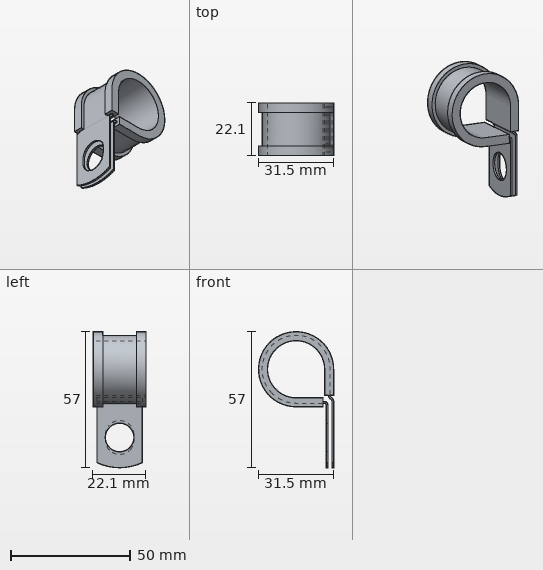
import cadquery as cq
import math

loop_radius = 15.77
bore_radius = 11.92
cushion_width = 22.1
vertical_leg_end = -10.9
horizontal_leg_end = 11.3

band_thickness = 0.8
band_radius = (loop_radius + bore_radius) / 2
groove_floor_radius = band_radius + band_thickness / 2
groove_width = 14.0

lug_width = 19.05
lug_bottom = -41.27
lug_gap = 1.6
lug_tip_radius = 22.2
hole_diameter = 11.9
outer_slot_stretch = 2.3
hole_height = -28.57
bend_radius = 1.2
jog_angle = math.radians(45)

outer_lug_x = loop_radius - band_thickness / 2
inner_lug_x = outer_lug_x - band_thickness - lug_gap


def teardrop(radius, width):
    """Solid teardrop: a 270 degree disc with a square corner at +X, -Z."""
    diagonal = radius * math.sin(math.radians(45))
    profile = (
        cq.Workplane("XZ", origin=(0, width / 2, 0))
        .moveTo(radius, -radius)
        .lineTo(radius, 0)
        .threePointArc((-diagonal, diagonal), (0, -radius))
        .close()
    )
    return profile.extrude(width)


def make_cushion():
    cushion = teardrop(loop_radius, cushion_width).cut(teardrop(bore_radius, cushion_width))
    groove = teardrop(loop_radius, groove_width).cut(teardrop(groove_floor_radius, groove_width))

    corner_size = 2 * loop_radius
    corner_block = cq.Workplane("XY").box(
        corner_size, cushion_width, corner_size, centered=(False, True, False)
    )
    opening = corner_block.translate((horizontal_leg_end, 0, vertical_leg_end - corner_size))
    return cushion.cut(groove).cut(opening)


def make_inner_strip():
    """Strip leaving the horizontal leg and turning straight down."""
    bend_start_x = inner_lug_x - bend_radius
    path = (
        cq.Workplane("XZ")
        .moveTo(horizontal_leg_end, -band_radius)
        .lineTo(bend_start_x, -band_radius)
        .radiusArc((inner_lug_x, -band_radius - bend_radius), bend_radius)
        .lineTo(inner_lug_x, lug_bottom)
    )
    section = cq.Workplane("YZ", origin=(horizontal_leg_end, 0, -band_radius)).rect(lug_width, band_thickness)
    return section.sweep(path)


def make_outer_strip():
    """Strip leaving the vertical leg and jogging out to the loop's outer side."""
    bend_dx = bend_radius * (1 - math.cos(jog_angle))
    bend_dz = bend_radius * math.sin(jog_angle)
    slope_dx = outer_lug_x - band_radius - 2 * bend_dx
    slope_dz = slope_dx / math.tan(jog_angle)
    slope_top = vertical_leg_end - bend_dz
    slope_bottom = slope_top - slope_dz
    path = (
        cq.Workplane("XZ")
        .moveTo(band_radius, vertical_leg_end)
        .radiusArc((band_radius + bend_dx, slope_top), -bend_radius)
        .lineTo(outer_lug_x - bend_dx, slope_bottom)
        .radiusArc((outer_lug_x, slope_bottom - bend_dz), bend_radius)
        .lineTo(outer_lug_x, lug_bottom)
    )
    section = cq.Workplane("XY", origin=(band_radius, 0, vertical_leg_end)).rect(band_thickness, lug_width)
    return section.sweep(path)


def shape_lug(strip, hole_stretch):
    """Round the tip of one lug and cut its bolt hole, drawn out along Z by hole_stretch."""
    tip_half_width = lug_width / 2
    tip_rise = lug_tip_radius - math.sqrt(lug_tip_radius**2 - tip_half_width**2)
    corner_height = lug_bottom + tip_rise
    outline = (
        cq.Workplane("YZ")
        .moveTo(-tip_half_width, 0)
        .lineTo(-tip_half_width, corner_height)
        .threePointArc((0, lug_bottom), (tip_half_width, corner_height))
        .lineTo(tip_half_width, 0)
        .close()
        .extrude(loop_radius)
    )
    hole_plane = cq.Workplane("YZ").center(0, hole_height)
    if hole_stretch > 0:
        hole_outline = hole_plane.slot2D(hole_diameter + hole_stretch, hole_diameter, 90)
    else:
        hole_outline = hole_plane.circle(hole_diameter / 2)
    return strip.intersect(outline).cut(hole_outline.extrude(loop_radius))


cushion = make_cushion()
inner_lug = shape_lug(make_inner_strip(), 0)
outer_lug = shape_lug(make_outer_strip(), outer_slot_stretch)
result = cushion.union(inner_lug).union(outer_lug)